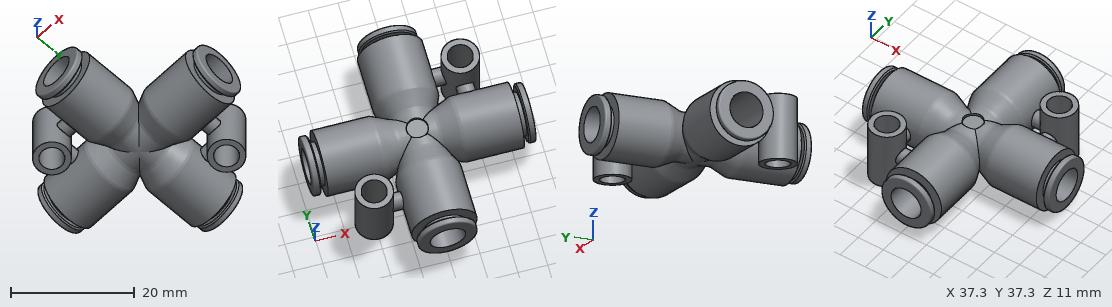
import cadquery as cq
overall_length = 37.3
half_length = overall_length / 2

body_radius = 5.505
body_end = 16.5
neck_radius = 4.1
shoulder_outer = 6.7
shoulder_inner = 3.47
shoulder_blend = 1.3

bore_radius = 3.0
sleeve_radius = 3.65
collar_radius = 4.95
collar_thickness = 1.23
collar_rounding = 0.25
collar_inner_chamfer_length = 0.22
collar_inner_chamfer_depth = 0.3

lug_offset = 10.0
lug_radius = 3.15
lug_hole_radius = 2.1
pin_radius = 1.5

badge_radius = 1.8
badge_floor = 3.62


def revolve_about_x(outline):
    return outline.close().revolve(360, (0, 0, 0), (1, 0, 0))


def make_body():
    """Solid of revolution along X: both bodies, the shoulder cones and the neck between them."""
    half_profile = (
        cq.Workplane("XY")
        .moveTo(0, 0)
        .lineTo(0, neck_radius)
        .lineTo(shoulder_inner, neck_radius)
        .lineTo(shoulder_outer, body_radius)
        .lineTo(body_end, body_radius)
        .lineTo(body_end, 0)
    )
    half = revolve_about_x(half_profile)
    corner_edges = half.edges(
        cq.selectors.BoxSelector(
            (shoulder_inner - 0.37, -body_radius - 0.37, -body_radius - 0.37),
            (shoulder_outer + 0.37, body_radius + 0.37, body_radius + 0.37),
            boundingbox=True,
        )
    ).edges("%CIRCLE")
    half = corner_edges.fillet(shoulder_blend)
    return half.union(half.mirror("YZ"))


def make_sleeves():
    """Release sleeve through the body, with a collar at each end, bevelled inside and rounded outside."""
    sleeve = cq.Workplane("YZ").circle(sleeve_radius).extrude(half_length - collar_thickness / 2, both=True)
    collar_start = half_length - collar_thickness
    collar_profile = (
        cq.Workplane("XY")
        .moveTo(collar_start, 0)
        .lineTo(collar_start, collar_radius - collar_inner_chamfer_depth)
        .lineTo(collar_start + collar_inner_chamfer_length, collar_radius)
        .lineTo(half_length, collar_radius)
        .lineTo(half_length, 0)
    )
    collar = revolve_about_x(collar_profile).faces(">X").edges().fillet(collar_rounding)
    return sleeve.union(collar).union(collar.mirror("YZ"))


def make_bore():
    return cq.Workplane("YZ").circle(bore_radius).extrude(half_length, both=True)


def turn_to_y(shape):
    return shape.rotate((0, 0, 0), (0, 0, 1), 90)


def make_lug():
    """Upright mounting tube in the +X +Y corner, joined by a round pin to each of the two arms."""
    tube = cq.Workplane("XY").center(lug_offset, lug_offset).circle(lug_radius).extrude(body_radius, both=True)
    pin_along_x = cq.Workplane("YZ").center(lug_offset, 0).circle(pin_radius).extrude(lug_offset)
    pin_along_y = cq.Workplane("XZ").center(lug_offset, 0).circle(pin_radius).extrude(-lug_offset)
    hole = (
        cq.Workplane("XY").center(lug_offset, lug_offset).circle(lug_hole_radius).extrude(body_radius, both=True)
    )
    return tube.union(pin_along_x).union(pin_along_y).cut(hole)


def make_badge_recess():
    """Shallow round recess with a flat floor on top of the crossing."""
    return cq.Workplane("XY").workplane(offset=badge_floor).circle(badge_radius).extrude(body_radius - badge_floor)


arm_pair = make_body().union(make_sleeves())
bore = make_bore()
lug = make_lug()

result = arm_pair.union(turn_to_y(arm_pair))
result = result.union(lug).union(lug.rotate((0, 0, 0), (0, 0, 1), 180))
result = result.cut(bore).cut(turn_to_y(bore)).cut(make_badge_recess())